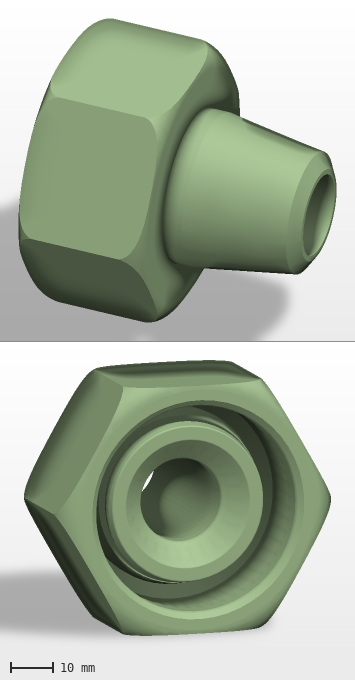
import cadquery as cq
import math


nut_across_flats = 60.0
nut_length = 32.5
nut_face_radius = 29.1
nut_corner_radius = nut_across_flats / math.sqrt(3)
nut_crown = nut_corner_radius - nut_face_radius
thread_radius = 49.8 / 2
thread_end = 19.6
countersink_radius = 53.0 / 2
countersink_depth = countersink_radius - thread_radius
countersink_blend = 1.0

total_length = 64.96
neck_radius = 38.0 / 2
collar_radius = 43.0 / 2
bore_radius = 20.0 / 2
bore_blend = 1.0
taper_start = 37.4
taper_end = 62.6
taper_end_radius = 15.0
weld_face_radius = 11.3

nose_start = 8.1
nose_half_angle = math.radians(12.0)
nose_blend = 0.45
nose_cone_front_radius = 37.89 / 2
nose_setback = nose_blend * math.tan((math.pi / 2 - nose_half_angle) / 2)
nose_radius = nose_cone_front_radius - nose_setback * math.sin(nose_half_angle)

throat_radius = 15.5
throat_blend = 0.4
throat_end = nose_start + throat_radius - bore_radius

ring_outer_radius = 38.34 / 2
ring_thickness = 2.5
groove_front_radius = 19.5
groove_back_radius = 20.25
groove_floor_radius = ring_outer_radius - ring_thickness


def nose_x(radius):
    """X position at which the nose cone has the given radius."""
    return nose_start + (radius - nose_radius) / math.tan(nose_half_angle)


groove_front = nose_x(groove_front_radius)
groove_back = nose_x(groove_back_radius)

seat_end = thread_end + thread_radius - neck_radius
collar_end = seat_end - (collar_radius - neck_radius)


def turned(profile):
    """Close an (axial, radial) profile and turn it about the X axis."""
    return profile.close().revolve(360, (0, 0, 0), (1, 0, 0))


def circle_edge(radius, axial):
    """Select the circular edge of the given radius at the given X position."""
    tolerance = 0.02
    reach = radius + tolerance
    return cq.selectors.BoxSelector(
        (axial - tolerance, -reach, -reach),
        (axial + tolerance, reach, reach),
        boundingbox=True,
    )


def make_crowned_blank():
    """Round bar with rounded ends, which trims the hexagon corners."""
    arc_inset = nut_crown * (1 - math.sqrt(0.5))
    arc_mid_radius = nut_corner_radius - arc_inset
    return turned(
        cq.Workplane("XY")
        .lineTo(0, nut_face_radius)
        .threePointArc((arc_inset, arc_mid_radius), (nut_crown, nut_corner_radius))
        .lineTo(nut_length - nut_crown, nut_corner_radius)
        .threePointArc((nut_length - arc_inset, arc_mid_radius), (nut_length, nut_face_radius))
        .lineTo(nut_length, 0)
    )


def make_nut_opening():
    """Countersink, thread bore, conical seat and neck bore."""
    return turned(
        cq.Workplane("XY")
        .lineTo(0, countersink_radius)
        .lineTo(countersink_depth, thread_radius)
        .lineTo(thread_end, thread_radius)
        .lineTo(seat_end, neck_radius)
        .lineTo(nut_length, neck_radius)
        .lineTo(nut_length, 0)
    )


def make_nut():
    hexagon = cq.Workplane("YZ").polygon(6, 2 * nut_corner_radius).extrude(nut_length)
    nut = hexagon.intersect(make_crowned_blank()).cut(make_nut_opening())
    return nut.edges(circle_edge(thread_radius, countersink_depth)).fillet(countersink_blend)


def make_nipple():
    nipple = turned(
        cq.Workplane("XY")
        .moveTo(nose_start, throat_radius)
        .lineTo(nose_start, nose_radius)
        .lineTo(groove_front, groove_front_radius)
        .lineTo(groove_front, groove_floor_radius)
        .lineTo(groove_back, groove_floor_radius)
        .lineTo(groove_back, groove_back_radius)
        .lineTo(nose_x(collar_radius), collar_radius)
        .lineTo(collar_end, collar_radius)
        .lineTo(seat_end, neck_radius)
        .lineTo(taper_start, neck_radius)
        .lineTo(taper_end, taper_end_radius)
        .lineTo(total_length, weld_face_radius)
        .lineTo(total_length, bore_radius)
        .lineTo(throat_end, bore_radius)
    )
    nipple = nipple.edges(circle_edge(bore_radius, throat_end)).fillet(bore_blend)
    nipple = nipple.edges(circle_edge(throat_radius, nose_start)).fillet(throat_blend)
    return nipple.edges(circle_edge(nose_radius, nose_start)).fillet(nose_blend)


def make_o_ring():
    """O-ring centred in the groove and resting on its floor."""
    section_radius = ring_thickness / 2
    centre_x = (groove_front + groove_back) / 2
    centre_radius = groove_floor_radius + section_radius
    section = cq.Workplane("XY").moveTo(centre_x, centre_radius).circle(section_radius)
    return section.revolve(360, (0, 0, 0), (1, 0, 0))


nut = make_nut()
nipple = make_nipple()
o_ring = make_o_ring()

result = cq.Compound.makeCompound([nut.val(), nipple.val(), o_ring.val()])